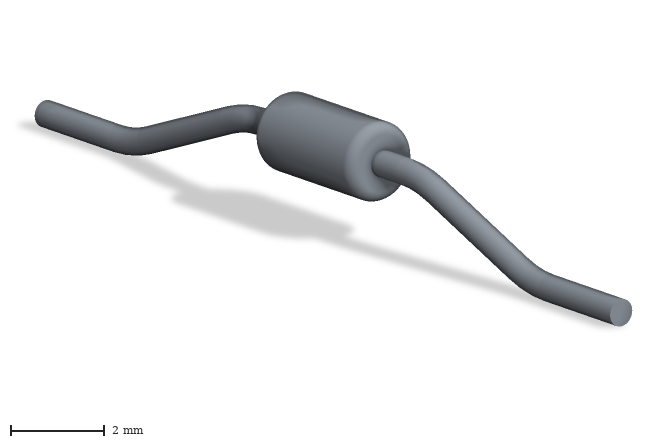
import cadquery as cq
import math

total_length = 20.0
body_length = 3.4
body_diameter = 1.75
body_edge_radius = 0.25
wire_diameter = 0.6
lead_drop = 1.48
bend_radius = 3.0
upper_bend_start = 2.5
lower_bend_end = 7.5

bend_span = lower_bend_end - upper_bend_start
centre_rise = 2 * bend_radius - lead_drop
slope_length = math.sqrt(bend_span**2 + centre_rise**2 - (2 * bend_radius)**2)
bend_angle = math.atan2(2 * bend_radius, slope_length) - math.atan2(centre_rise, bend_span)


def bend_offset(angle):
    """Distance along X and drop in Z after bending the wire by an angle from level."""
    return bend_radius * math.sin(angle), bend_radius * (1 - math.cos(angle))


def make_body():
    left_end = cq.Workplane("YZ", origin=(-body_length / 2, 0, 0))
    body = left_end.circle(body_diameter / 2).extrude(body_length)
    return body.edges().fillet(body_edge_radius)


def make_lead():
    """Wire on the +X side, from the body centre to the lead end."""
    mid_run, mid_drop = bend_offset(bend_angle / 2)
    run, drop = bend_offset(bend_angle)
    path = (
        cq.Workplane("XZ")
        .lineTo(upper_bend_start, 0)
        .threePointArc((upper_bend_start + mid_run, -mid_drop), (upper_bend_start + run, -drop))
        .lineTo(lower_bend_end - run, drop - lead_drop)
        .threePointArc((lower_bend_end - mid_run, mid_drop - lead_drop), (lower_bend_end, -lead_drop))
        .lineTo(total_length / 2, -lead_drop)
    )
    return cq.Workplane("YZ").circle(wire_diameter / 2).sweep(path)


lead = make_lead()
result = make_body().union(lead).union(lead.mirror("YZ"))